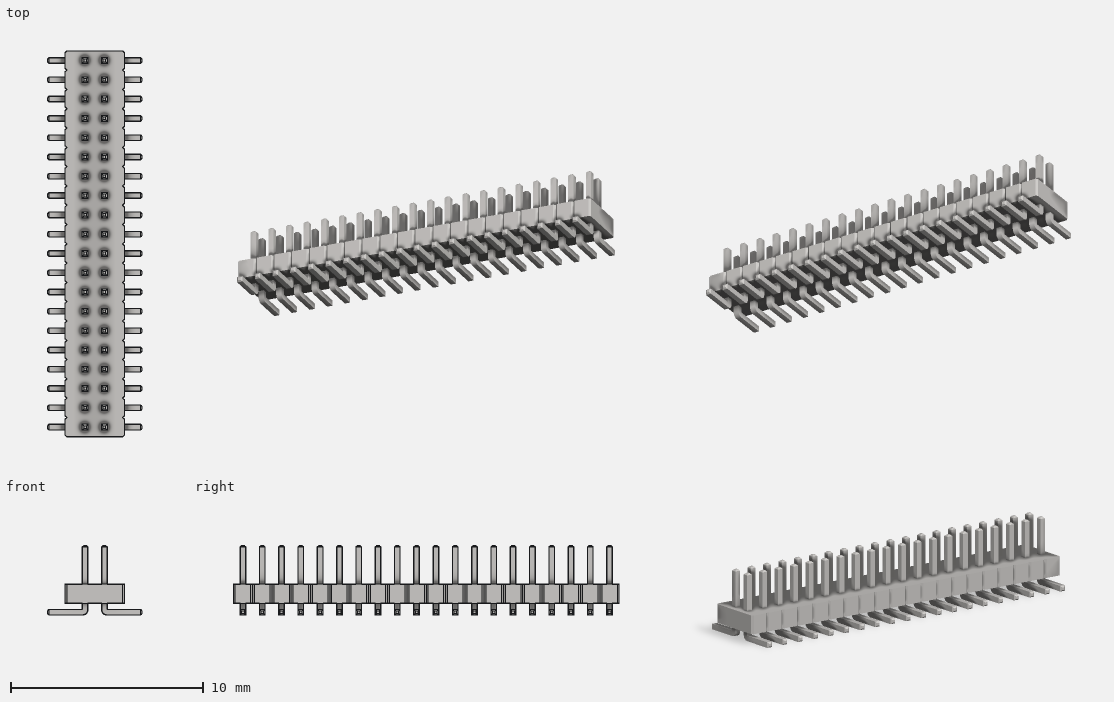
import cadquery as cq

overall_length = 20.0
overall_width = 4.9
overall_height = 3.6
positions = 20
pitch = overall_length / positions
row_spacing = pitch

body_width = 3.1
body_height = 1.0
body_bottom = 0.6
body_chamfer = 0.1

pin_size = 0.3
tip_chamfer = 0.08
bend_radius = 0.28


def make_body_cell(y):
    """One pitch of the body, with chamfered vertical edges that leave V notches between cells."""
    return (
        cq.Workplane("XY", origin=(0, y, body_bottom))
        .rect(body_width, pitch)
        .extrude(body_height)
        .edges("|Z")
        .chamfer(body_chamfer)
    )


def make_right_pin():
    """Bent pin of the +X row at y = 0: upright post, outward foot, tapered ends."""
    inner_x = (row_spacing - pin_size) / 2
    outer_x = inner_x + pin_size
    foot_end = overall_width / 2
    pin = (
        cq.Workplane("XZ")
        .moveTo(inner_x, 0)
        .lineTo(foot_end, 0)
        .lineTo(foot_end, pin_size)
        .lineTo(outer_x, pin_size)
        .lineTo(outer_x, overall_height)
        .lineTo(inner_x, overall_height)
        .close()
        .extrude(pin_size / 2, both=True)
    )
    pin = pin.faces(">Z").chamfer(tip_chamfer)
    pin = pin.faces(">X").chamfer(tip_chamfer)
    return pin.edges("|Y and <X and <Z").fillet(bend_radius)


right_pin = make_right_pin()
left_pin = right_pin.mirror("YZ")

row_centers = [(index - (positions - 1) / 2) * pitch for index in range(positions)]

result = make_body_cell(row_centers[0])
for y in row_centers[1:]:
    result = result.union(make_body_cell(y))
all_pins = [pin.translate((0, y, 0)).val() for y in row_centers for pin in (left_pin, right_pin)]
result = result.union(cq.Workplane(cq.Compound.makeCompound(all_pins)))